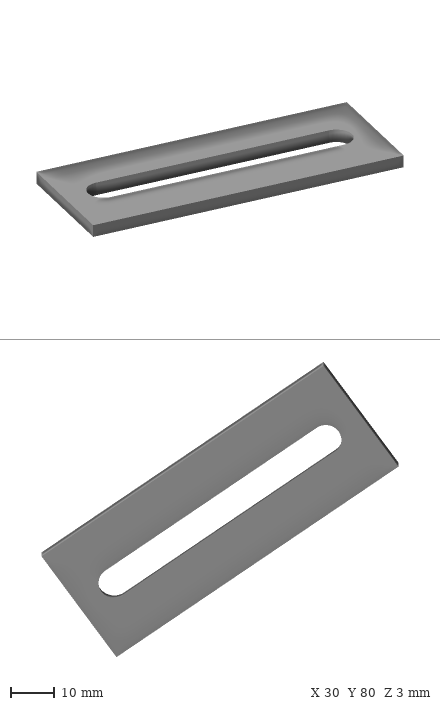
import cadquery as cq

plate_width = 30.0
plate_length = 80.0
plate_thickness = 3.0

slot_width = 8.0
end_margin = 6.0
slot_length = plate_length - 2 * end_margin
wall_taper = 7.0

plate = cq.Workplane("XY").box(plate_width, plate_length, plate_thickness)

slot = (
    plate.faces(">Z")
    .workplane()
    .slot2D(slot_length, slot_width, angle=90)
    .extrude(-plate_thickness, combine=False, taper=wall_taper)
)

result = plate.cut(slot)